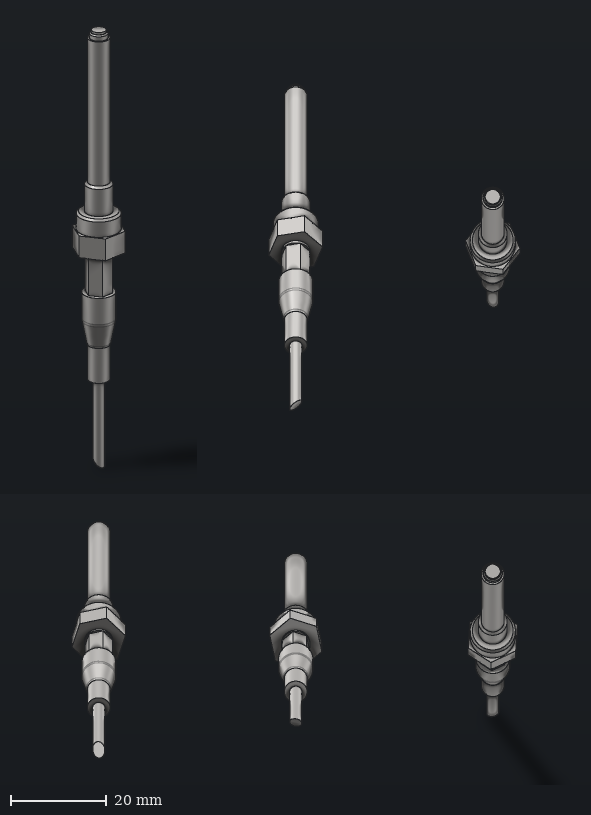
import cadquery as cq

total_length = 100.0
wire_diameter = 2.6
sleeve_bottom = 20.0
sleeve_diameter = 4.8
taper_bottom = 28.0
taper_bottom_diameter = 5.2
collar_diameter = 7.2
collar_top = 40.0
collar_length = 6.3
edge_height = 0.5
collar_edge_radius = 3.0

neck_across_flats = 5.2
relief_diameter = 6.0
neck_top = 48.8

nut_across_flats = 10.0
nut_bottom = 49.5
nut_height = 5.0
flange_diameter = 9.5
flange_height = 4.0
flange_chamfer = 0.5

shoulder_diameter = 6.0
shoulder_top = 65.2
rod_diameter = 4.8
rod_top = 98.2
tip_diameter = 4.0
tip_end_diameter = 3.2
tip_end_height = 0.5
tip_chamfer = 0.3

nut_top = nut_bottom + nut_height
flange_top = nut_top + flange_height
collar_bottom = collar_top - collar_length


def cylinder(diameter, bottom, top):
    return cq.Workplane("XY").workplane(offset=bottom).circle(diameter / 2).extrude(top - bottom)


def cone(bottom_diameter, top_diameter, bottom, top):
    profile = [
        (0, bottom),
        (bottom_diameter / 2, bottom),
        (top_diameter / 2, top),
        (0, top),
    ]
    return cq.Workplane("XZ").polyline(profile).close().revolve(360, (0, 0), (0, 1))


def hexagon(across_flats, bottom, top):
    """Hexagonal prism with two flats facing along X."""
    prism = cq.Workplane("XY").workplane(offset=bottom)
    return prism.polygon(6, across_flats, circumscribed=True).extrude(top - bottom)


def wire():
    """Cable end cut at 45 degrees, longest on the +X side."""
    radius = wire_diameter / 2
    cutter = (
        cq.Workplane("XZ")
        .polyline([(-radius, 0), (radius, 0), (-radius, wire_diameter)])
        .close()
        .extrude(radius, both=True)
    )
    return cylinder(wire_diameter, 0, sleeve_bottom).cut(cutter)


def cable_sleeve():
    """Sleeve widening through a taper into the collar."""
    taper_start = taper_bottom + edge_height
    sleeve = cylinder(sleeve_diameter, sleeve_bottom, taper_bottom)
    lead_in = cone(sleeve_diameter, taper_bottom_diameter, taper_bottom, taper_start)
    taper = cone(taper_bottom_diameter, collar_diameter, taper_start, collar_bottom)
    collar = cylinder(collar_diameter, collar_bottom, collar_top)
    collar = collar.union(taper)
    lower_edge = cq.selectors.BoxSelector(
        (-collar_diameter, -collar_diameter, collar_bottom - edge_height),
        (collar_diameter, collar_diameter, collar_bottom + edge_height),
    )
    collar = collar.edges(lower_edge).edges("%CIRCLE").fillet(collar_edge_radius)
    return sleeve.union(lead_in).union(collar)


def neck():
    flats = hexagon(neck_across_flats, collar_top, neck_top)
    return flats.union(cylinder(relief_diameter, neck_top, nut_bottom))


def nut():
    flange = cylinder(flange_diameter, nut_top, flange_top).faces(">Z").chamfer(flange_chamfer)
    return hexagon(nut_across_flats, nut_bottom, nut_top).union(flange)


def probe():
    shoulder = cylinder(shoulder_diameter, flange_top, shoulder_top - edge_height)
    step = cone(shoulder_diameter, rod_diameter, shoulder_top - edge_height, shoulder_top)
    rod = cylinder(rod_diameter, shoulder_top, rod_top)
    tip_step = total_length - tip_end_height
    tip = cylinder(tip_diameter, rod_top, tip_step).faces(">Z").chamfer(tip_chamfer)
    tip_end = cylinder(tip_end_diameter, tip_step, total_length)
    return shoulder.union(step).union(rod).union(tip).union(tip_end)


result = wire().union(cable_sleeve()).union(neck()).union(nut()).union(probe())